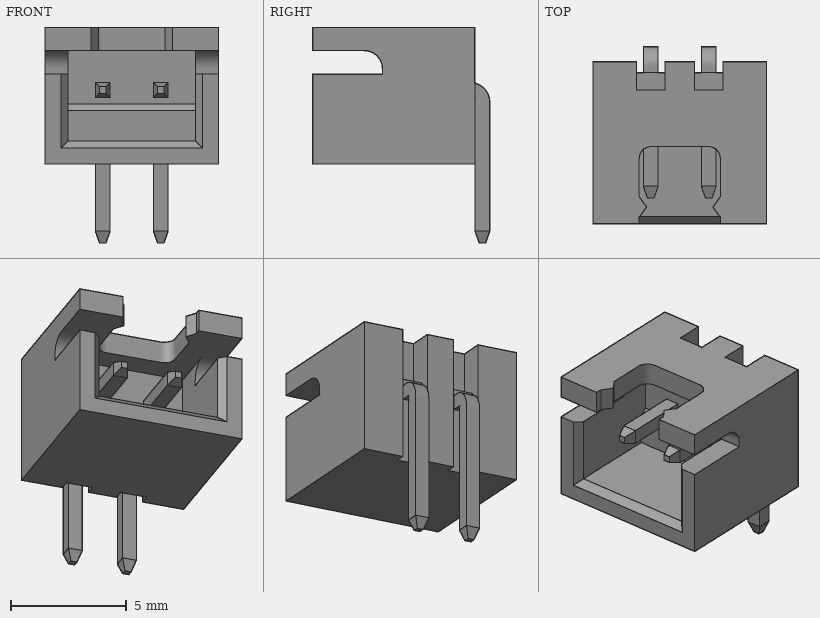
import cadquery as cq


overall_height = 9.3

housing_width = 7.5
housing_depth = 7.0
housing_height = 5.9
wall = 1.0
cavity_width = housing_width - 2 * wall
cavity_depth = 4.5
mouth_chamfer = 0.31
cavity_top = housing_height - wall

step_height = 2.6
step_chamfer = 0.3

side_slot_depth = 3.0
side_slot_height = 1.0
side_slot_radius = 0.77

opening_width = 3.5
opening_depth = 3.33
opening_radius = 0.5
bump_height = 0.32
bump_half_length = 0.45
bump_tip_y = 0.73

pin_pitch = 2.5
pin_size = 0.64
pin_axis_z = 3.2
pin_bend_radius = 0.85
pin_front_y = 1.12
pin_drop = overall_height - housing_height
tip_length = 0.51
tip_size = 0.29
pin_rear_y = housing_depth + pin_size
pin_top = pin_axis_z + pin_size / 2
pin_positions = (-pin_pitch / 2, pin_pitch / 2)

notch_width = 1.21
notch_upper_depth = 1.23
notch_lower_depth = 0.48
notch_ledge_z = pin_top + (notch_width - pin_size) / 2


def box(x_center, width, y_min, y_max, z_min, z_max):
    """Block centred on x_center, spanning the given Y and Z ranges."""
    size = (width, y_max - y_min, z_max - z_min)
    base = cq.Workplane("XY", origin=(x_center, y_min, z_min))
    return base.box(*size, centered=(True, False, False))


def make_cavity():
    """Straight cavity with a chamfered step left standing at the rear of its floor."""
    cavity = box(0, cavity_width, 0, cavity_depth, wall, cavity_top)
    step = (
        cq.Workplane("YZ", origin=(-cavity_width / 2, 0, 0))
        .moveTo(cavity_depth, wall)
        .lineTo(cavity_depth - step_chamfer, wall)
        .lineTo(cavity_depth - step_chamfer, step_height - step_chamfer)
        .lineTo(cavity_depth, step_height)
        .close()
        .extrude(cavity_width)
    )
    return cavity.cut(step)


def make_mouth_flare():
    """Wedge that bevels the floor and both side walls at the mouth, but not the roof."""
    outer_width = cavity_width + 2 * mouth_chamfer
    outer_bottom = wall - mouth_chamfer
    return (
        cq.Workplane("XZ")
        .center(0, (cavity_top + outer_bottom) / 2)
        .rect(outer_width, cavity_top - outer_bottom)
        .workplane(offset=-mouth_chamfer)
        .center(0, (wall - outer_bottom) / 2)
        .rect(cavity_width, cavity_top - wall)
        .loft(ruled=True)
    )


def make_side_slots():
    """Slot across the full width, rounded at its upper rear corner."""
    slot = box(0, housing_width, 0, side_slot_depth, cavity_top - side_slot_height, cavity_top)
    return slot.edges(">Y and >Z").fillet(side_slot_radius)


def make_roof_opening():
    """Rounded opening through the roof, narrowed by a bump on each side."""
    opening = box(0, opening_width, 0, opening_depth, cavity_top, housing_height)
    opening = opening.edges("|Z and >Y").fillet(opening_radius)
    for side in (-1, 1):
        edge_x = side * opening_width / 2
        bump = (
            cq.Workplane("XY", origin=(0, 0, cavity_top))
            .moveTo(edge_x, bump_tip_y - bump_half_length)
            .lineTo(edge_x - side * bump_height, bump_tip_y)
            .lineTo(edge_x, bump_tip_y + bump_half_length)
            .close()
            .extrude(wall)
        )
        opening = opening.cut(bump)
    return opening


def make_rear_notch(x):
    """Deep notch above the pin, shallower one below it down to the underside."""
    upper_front_y = housing_depth - notch_upper_depth
    lower_front_y = housing_depth - notch_lower_depth
    upper = box(x, notch_width, upper_front_y, housing_depth, notch_ledge_z, housing_height)
    lower = box(x, notch_width, lower_front_y, housing_depth, 0, notch_ledge_z)
    return upper.union(lower)


def make_tip(base_plane):
    """Tapered pin end, growing along the normal of base_plane."""
    return (
        cq.Workplane(base_plane)
        .rect(pin_size, pin_size)
        .workplane(offset=tip_length)
        .rect(tip_size, tip_size)
        .loft(ruled=True)
    )


def make_pin(x):
    """L-shaped square pin with a rounded outer bend and both ends tapered."""
    contact_end_y = pin_front_y + tip_length
    solder_end_z = tip_length - pin_drop
    contact_leg = box(x, pin_size, contact_end_y, pin_rear_y, pin_top - pin_size, pin_top)
    solder_leg = box(x, pin_size, housing_depth, pin_rear_y, solder_end_z, pin_top)
    shank = contact_leg.union(solder_leg).edges(">Y and >Z").fillet(pin_bend_radius)
    contact_plane = cq.Plane(origin=(x, contact_end_y, pin_axis_z), xDir=(1, 0, 0), normal=(0, -1, 0))
    solder_plane = cq.Plane(
        origin=(x, housing_depth + pin_size / 2, solder_end_z), xDir=(1, 0, 0), normal=(0, 0, -1)
    )
    return shank.union(make_tip(contact_plane)).union(make_tip(solder_plane))


result = (
    box(0, housing_width, 0, housing_depth, 0, housing_height)
    .cut(make_cavity())
    .cut(make_mouth_flare())
    .cut(make_side_slots())
    .cut(make_roof_opening())
)
for pin_x in pin_positions:
    result = result.cut(make_rear_notch(pin_x)).union(make_pin(pin_x))